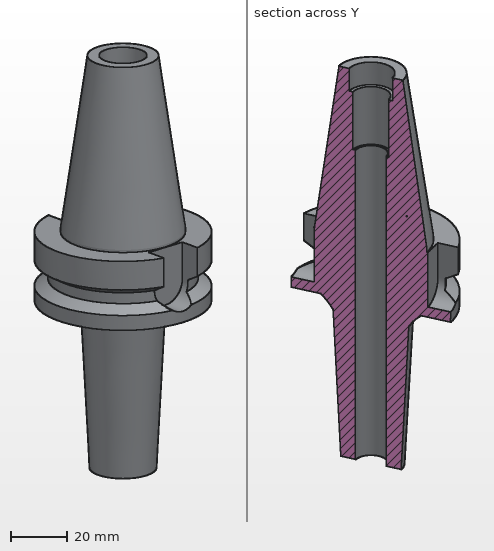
import cadquery as cq
import math

taper_length = 65.4
gauge_length = 90.0
flange_top_z = -1.0
flange_bottom_z = -27.0

gauge_radius = 44.45 / 2
taper_ratio = 7 / 24
taper_end_radius = gauge_radius - taper_length * taper_ratio / 2

flange_radius = 63.0 / 2
groove_floor_radius = 53.4 / 2
groove_centre_z = -16.6
groove_floor_width = 4.1
groove_side_angle = 30.0
groove_side_height = (flange_radius - groove_floor_radius) * math.tan(math.radians(groove_side_angle))
groove_floor_top_z = groove_centre_z + groove_floor_width / 2
groove_floor_bottom_z = groove_centre_z - groove_floor_width / 2

nose_tip_radius = 24.0 / 2
nose_angle = 3.0
flare_height = 5.2
nose_end_z = flange_bottom_z - flare_height
nose_end_radius = nose_tip_radius + (nose_end_z + gauge_length) * math.tan(math.radians(nose_angle))
flare_radius = 20.0
flare_flange_radius = 39.8 / 2

keyway_width = 16.1
keyway_floor_x = 22.5
keyway_bottom_z = -22.75

pilot_radius = 17.0 / 2
pilot_depth = 9.0
thread_radius = 14.0 / 2
thread_depth = 32.0
clamp_radius = 12.0 / 2


def arc_midpoint(start, end, radius):
    """Middle of the arc from start to end that bows to the left of that direction."""
    run = end[0] - start[0]
    rise = end[1] - start[1]
    chord = math.hypot(run, rise)
    sagitta = radius - math.sqrt(radius**2 - (chord / 2) ** 2)
    middle_x = (start[0] + end[0]) / 2 - sagitta * rise / chord
    middle_z = (start[1] + end[1]) / 2 + sagitta * run / chord
    return (middle_x, middle_z)


def make_body():
    """Revolve the outer outline about Z."""
    flare_mid = arc_midpoint(
        (nose_end_radius, nose_end_z),
        (flare_flange_radius, flange_bottom_z),
        flare_radius,
    )
    outline = (
        cq.Workplane("XZ")
        .moveTo(0, -gauge_length)
        .lineTo(nose_tip_radius, -gauge_length)
        .lineTo(nose_end_radius, nose_end_z)
        .threePointArc(flare_mid, (flare_flange_radius, flange_bottom_z))
        .lineTo(flange_radius, flange_bottom_z)
        .lineTo(flange_radius, groove_floor_bottom_z - groove_side_height)
        .lineTo(groove_floor_radius, groove_floor_bottom_z)
        .lineTo(groove_floor_radius, groove_floor_top_z)
        .lineTo(flange_radius, groove_floor_top_z + groove_side_height)
        .lineTo(flange_radius, flange_top_z)
        .lineTo(gauge_radius, flange_top_z)
        .lineTo(gauge_radius, 0)
        .lineTo(taper_end_radius, taper_length)
        .lineTo(0, taper_length)
        .close()
    )
    return outline.revolve(360, (0, 0, 0), (0, 1, 0))


def make_keyway(side):
    """Round-bottomed cutter for the keyway on the +X (side = 1) or -X (side = -1) flank."""
    half_width = keyway_width / 2
    arc_centre_z = keyway_bottom_z + half_width
    return (
        cq.Workplane("YZ", origin=(side * keyway_floor_x, 0, 0))
        .moveTo(-half_width, 0)
        .lineTo(-half_width, arc_centre_z)
        .threePointArc((0, keyway_bottom_z), (half_width, arc_centre_z))
        .lineTo(half_width, 0)
        .close()
        .extrude(side * flange_radius)
    )


def make_bore(radius, depth):
    """Cylinder reaching down from the taper end."""
    return cq.Workplane("XY", origin=(0, 0, taper_length)).circle(radius).extrude(-depth)


result = make_body()
for side in (-1, 1):
    result = result.cut(make_keyway(side))
result = result.cut(make_bore(pilot_radius, pilot_depth))
result = result.cut(make_bore(thread_radius, thread_depth))
result = result.cut(make_bore(clamp_radius, taper_length + gauge_length))